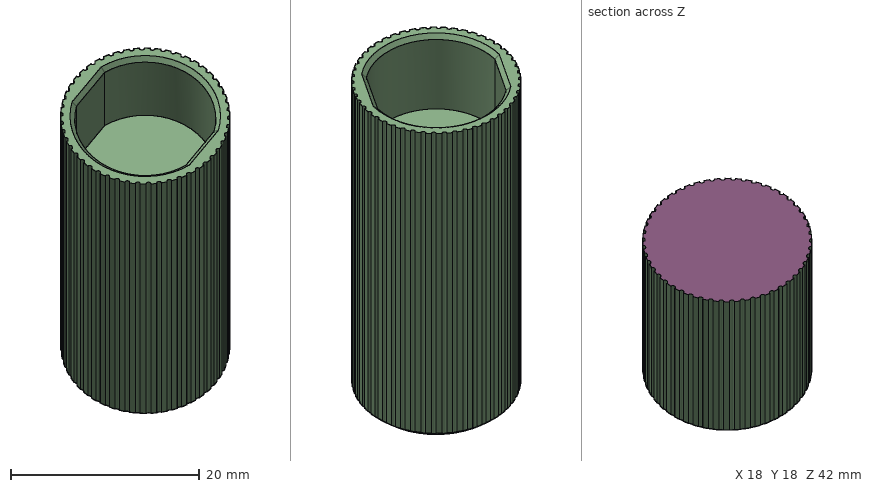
import cadquery as cq
import math

outer_radius = 9.0
height = 42.0
base_chamfer = 1.0

groove_count = 50
groove_radius = 0.25
groove_center_radius = outer_radius
first_groove_angle = 90.0

bore_radius = 7.5
flat_half_width = 7.0
pocket_depth = 10.0
mouth_chamfer = 0.5


def make_body():
    """Plain cylinder standing on Z = 0, chamfered around the base."""
    cylinder = cq.Workplane("XY").circle(outer_radius).extrude(height)
    return cylinder.faces("<Z").chamfer(base_chamfer)


def cut_grooves(body):
    """Cut the full-height grooves that form the knurl."""
    groove_pitch = 360.0 / groove_count
    centers = []
    for index in range(groove_count):
        angle = math.radians(first_groove_angle + index * groove_pitch)
        x = groove_center_radius * math.cos(angle)
        y = groove_center_radius * math.sin(angle)
        centers.append((x, y))
    grooves = cq.Workplane("XY").pushPoints(centers).circle(groove_radius).extrude(height)
    return body.cut(grooves)


def cut_pocket(body):
    """Sink the double-flat pocket and chamfer its mouth."""
    flat_half_length = math.sqrt(bore_radius**2 - flat_half_width**2)
    pocket = (
        cq.Workplane("XY", origin=(0, 0, height))
        .moveTo(flat_half_width, -flat_half_length)
        .lineTo(flat_half_width, flat_half_length)
        .threePointArc((0, bore_radius), (-flat_half_width, flat_half_length))
        .lineTo(-flat_half_width, -flat_half_length)
        .threePointArc((0, -bore_radius), (flat_half_width, -flat_half_length))
        .close()
        .extrude(-pocket_depth)
    )
    sunk = body.cut(pocket)
    rim = sunk.faces(">Z").val()
    mouth_edges = rim.innerWires()[0].Edges()
    return sunk.newObject(mouth_edges).chamfer(mouth_chamfer)


result = cut_grooves(cut_pocket(make_body()))